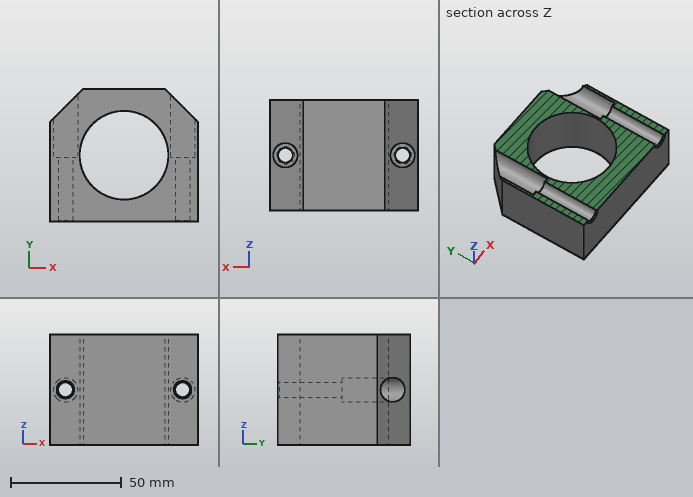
import cadquery as cq

WIDTH = 67.0
DEPTH = 60.0
HEIGHT = 50.0
CORNER_CHAMFER = 15.0

BORE_DIAMETER = 40.0

SCREW_SPACING = 53.0
SCREW_DIAMETER = 6.647
COUNTERSINK_DIAMETER = 8.0
COUNTERSINK_DEPTH = (COUNTERSINK_DIAMETER - SCREW_DIAMETER) / 2
COUNTERBORE_DIAMETER = 11.0
COUNTERBORE_DEPTH = 31.0

FRONT_Y = -DEPTH / 2
BACK_Y = DEPTH / 2
FORWARD = cq.Vector(0, -1, 0)
BACKWARD = cq.Vector(0, 1, 0)


def make_block():
    """Rectangular block with its two rear vertical corners cut off."""
    block = cq.Workplane("XY").box(WIDTH, DEPTH, HEIGHT)
    return block.edges("|Z and >Y").chamfer(CORNER_CHAMFER)


def make_bore():
    """Vertical bore through the middle of the block."""
    return cq.Workplane("XY").circle(BORE_DIAMETER / 2).extrude(HEIGHT / 2, both=True)


def make_screw_hole(x):
    """Through hole, countersunk at the front and counterbored from the back."""
    front = cq.Vector(x, FRONT_Y, 0)
    back = cq.Vector(x, BACK_Y, 0)
    through = cq.Solid.makeCylinder(SCREW_DIAMETER / 2, DEPTH, front, BACKWARD)
    countersink = cq.Solid.makeCone(
        COUNTERSINK_DIAMETER / 2, SCREW_DIAMETER / 2, COUNTERSINK_DEPTH, front, BACKWARD
    )
    counterbore = cq.Solid.makeCylinder(COUNTERBORE_DIAMETER / 2, COUNTERBORE_DEPTH, back, FORWARD)
    return cq.Workplane("XY").add(through.fuse(countersink, counterbore))


result = make_block().cut(make_bore())
for side in (-1, 1):
    result = result.cut(make_screw_hole(side * SCREW_SPACING / 2))